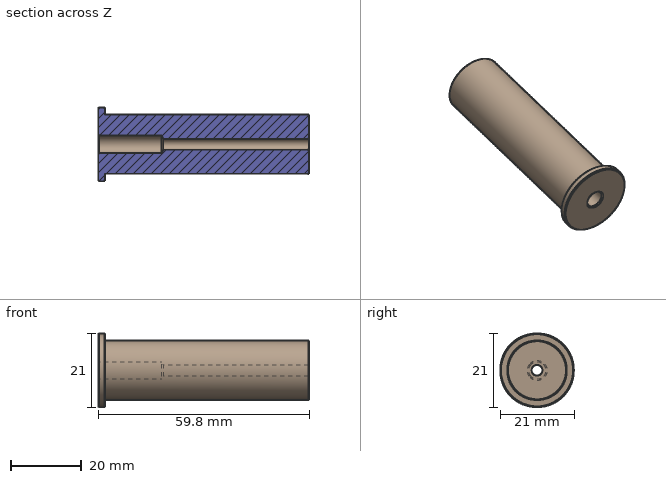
import cadquery as cq
import math

total_length = 59.8
flange_diameter = 21.0
flange_thickness = 2.05
body_diameter = 17.0
edge_chamfer = 0.3

bore_diameter = 3.0
drill_diameter = 4.9
drill_depth = 17.95
drill_tip_angle = 118.0
mouth_diameter = 5.6


def cylinder_along_x(diameter, length):
    """Solid cylinder on the X axis, starting at the flange face."""
    return cq.Workplane("YZ").circle(diameter / 2).extrude(length)


def make_outside():
    """Flanged cylinder with both flange rims and the free end chamfered."""
    flange = cylinder_along_x(flange_diameter, flange_thickness).edges().chamfer(edge_chamfer)
    body = cylinder_along_x(body_diameter, total_length).faces(">X").edges().chamfer(edge_chamfer)
    return flange.union(body)


def make_hole():
    """Hole with a 45 degree countersunk mouth and a conical step left by the drill tip."""
    bore_radius = bore_diameter / 2
    drill_radius = drill_diameter / 2
    mouth_radius = mouth_diameter / 2
    mouth_depth = mouth_radius - drill_radius
    step_length = (drill_radius - bore_radius) / math.tan(math.radians(drill_tip_angle / 2))
    half_profile = [
        (0, 0),
        (0, mouth_radius),
        (mouth_depth, drill_radius),
        (drill_depth, drill_radius),
        (drill_depth + step_length, bore_radius),
        (total_length, bore_radius),
        (total_length, 0),
    ]
    return cq.Workplane("XY").polyline(half_profile).close().revolve(360, (0, 0, 0), (1, 0, 0))


result = make_outside().cut(make_hole())